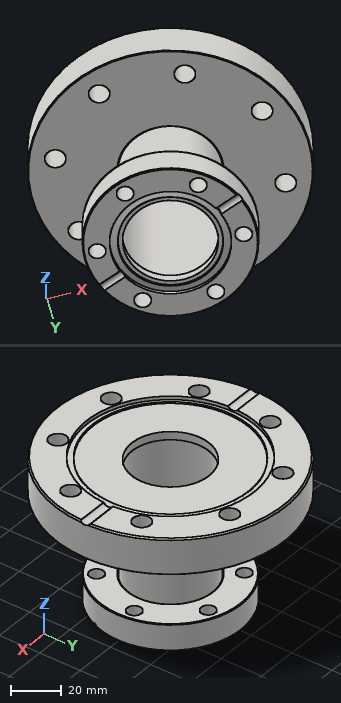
import cadquery as cq

total_height = 70.0
tube_outer_diameter = 41.0
bore_diameter = 38.0

large_diameter = 113.5
large_thickness = 17.5
large_recess_diameter = 82.5
large_knife_diameter = 77.1
large_hole_count = 8
large_hole_circle = 92.2
large_hole_diameter = 8.4
large_hole_angle = 180 / large_hole_count
large_groove_angle = 0.0
large_groove_width = 4.7
large_face_chamfer = 0.7
large_tube_seat = 5.5

small_diameter = 70.0
small_thickness = 13.0
small_recess_diameter = 48.4
small_knife_diameter = 42.0
small_hole_count = 6
small_hole_circle = 58.7
small_hole_diameter = 6.8
small_hole_angle = 7.5
small_groove_angle = small_hole_angle - 180 / small_hole_count
small_groove_width = 3.4
small_face_chamfer = 0.5
small_tube_seat = large_tube_seat

back_chamfer = 0.3
recess_depth = 1.7
knife_depth = 0.8
floor_depth = 1.5
knife_inner_step = 0.17
groove_depth = 1.1
seat_diameter = 41.5
seat_chamfer = 0.5


def flange_blank(diameter, thickness, recess_diameter, knife_diameter, face_chamfer, tube_seat):
    """Revolved flange with its sealing face on Z = 0 and its back at Z = -thickness."""
    radius = diameter / 2
    bore_radius = bore_diameter / 2
    seat_radius = seat_diameter / 2
    recess_radius = recess_diameter / 2
    knife_radius = knife_diameter / 2
    profile = [
        (bore_radius, -floor_depth),
        (knife_radius - knife_inner_step, -floor_depth),
        (knife_radius, -knife_depth),
        (recess_radius, -recess_depth),
        (recess_radius, 0),
        (radius - face_chamfer, 0),
        (radius, -face_chamfer),
        (radius, -thickness + back_chamfer),
        (radius - back_chamfer, -thickness),
        (seat_radius + seat_chamfer, -thickness),
        (seat_radius, -thickness + seat_chamfer),
        (seat_radius, -tube_seat),
        (bore_radius, -tube_seat),
    ]
    return cq.Workplane("XZ").polyline(profile).close().revolve(360, (0, 0), (0, 1))


def bolt_holes(count, circle_diameter, hole_diameter, start_angle, thickness):
    """Cutters for the through holes."""
    return (
        cq.Workplane("XY")
        .polarArray(circle_diameter / 2, start_angle, 360, count)
        .circle(hole_diameter / 2)
        .extrude(-thickness)
    )


def leak_grooves(diameter, recess_diameter, width, angle):
    """Cutters for two opposite round-bottomed grooves from the recess to the rim."""
    half_width = width / 2
    groove_radius = (half_width**2 + groove_depth**2) / (2 * groove_depth)
    rod = (
        cq.Workplane("YZ", origin=(-diameter / 2, 0, 0))
        .center(0, groove_radius - groove_depth)
        .circle(groove_radius)
        .extrude(diameter)
    )
    inside = cq.Workplane("XY").circle(recess_diameter / 2).extrude(4 * groove_radius, both=True)
    return rod.cut(inside).rotate((0, 0, 0), (0, 0, 1), angle)


def make_large_flange():
    blank = flange_blank(
        large_diameter, large_thickness, large_recess_diameter,
        large_knife_diameter, large_face_chamfer, large_tube_seat,
    )
    holes = bolt_holes(
        large_hole_count, large_hole_circle, large_hole_diameter, large_hole_angle, large_thickness
    )
    grooves = leak_grooves(
        large_diameter, large_recess_diameter, large_groove_width, large_groove_angle
    )
    return blank.cut(holes).cut(grooves).translate((0, 0, total_height))


def make_small_flange():
    """Built face up, then turned over about X, which reverses the angles about Z."""
    blank = flange_blank(
        small_diameter, small_thickness, small_recess_diameter,
        small_knife_diameter, small_face_chamfer, small_tube_seat,
    )
    holes = bolt_holes(
        small_hole_count, small_hole_circle, small_hole_diameter, -small_hole_angle, small_thickness
    )
    grooves = leak_grooves(
        small_diameter, small_recess_diameter, small_groove_width, -small_groove_angle
    )
    return blank.cut(holes).cut(grooves).rotate((0, 0, 0), (1, 0, 0), 180)


def make_tube():
    """Tube seated in the counterbores at the backs of both flanges."""
    length = total_height - large_tube_seat - small_tube_seat
    return (
        cq.Workplane("XY", origin=(0, 0, small_tube_seat))
        .circle(tube_outer_diameter / 2)
        .circle(bore_diameter / 2)
        .extrude(length)
    )


large_flange = make_large_flange()
small_flange = make_small_flange()
tube = make_tube()

result = cq.Compound.makeCompound([large_flange.val(), small_flange.val(), tube.val()])